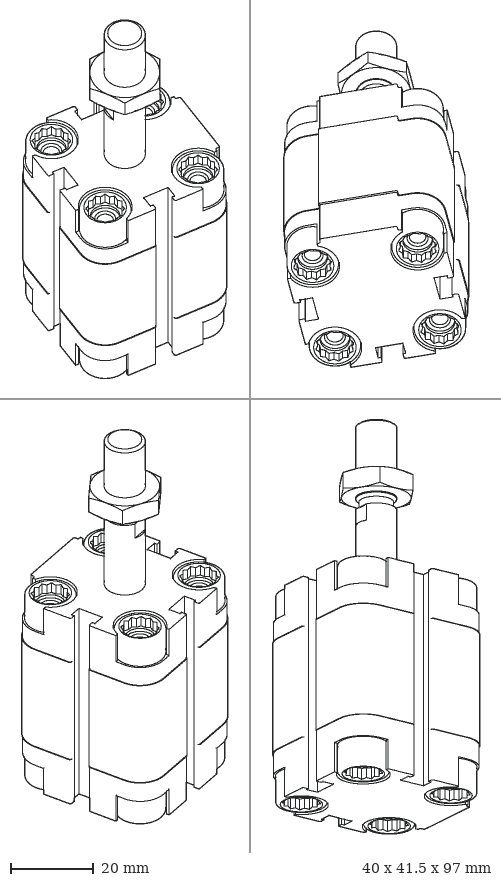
import cadquery as cq
import math


total_height = 97.0
body_height = 54.6
lower_joint_z = 13.1
upper_joint_z = 41.7
upper_ledge_z = 46.9
lower_ledge_z = 7.6

barrel_half_width = 20.0
screw_offset = 13.0
cap_setback = 0.2
pad_face_y = 21.5
cap_pad_setback = 0.5
pad_half_width = 9.8
pad_edge_radius = 0.4

front_mouth_half = 2.7
front_mouth_round = 0.3
side_mouth_half = 2.6
side_mouth_round = 0.5
slot_inner_half = 3.4
slot_lip_offset = 18.2
slot_floor_offset = 15.0

head_radius = 12.5 / 2
head_round = 0.8
head_recess = 0.2
relief_radius = 6.5
relief_wall_offset = 2.5
screw_bore_radius = 4.0 / 2

socket_flats = 8.05
socket_depth = 3.1
socket_mouth_radius = 5.1
socket_bevel_angle = 30.0
seat_radius = 7.2 / 2
seat_depth = 4.0
bore_entry_radius = 5.0 / 2

rod_radius = 10.0 / 2
rod_tip_radius = 8.2 / 2
rod_tip_bevel_height = 0.6
neck_radius = 8.4 / 2
neck_bottom_z = 75.1
neck_top_z = 77.1
thread_runout_height = 0.8
wrench_flats = 8.9
wrench_flat_bottom_z = 70.9

nut_flats = 17.0
nut_bottom_z = 78.2
nut_top_z = 83.2
nut_face_radius = 8.4
nut_bevel_angle = 20.0

screw_positions = [(sx * screw_offset, sy * screw_offset) for sx in (-1, 1) for sy in (-1, 1)]


def hexagon_across_corners(across_flats):
    return across_flats / math.cos(math.radians(30))


def t_slot(face, height, mouth_half, mouth_round):
    """T-slot cutter opening toward -Y at y = -face, with rounded mouth edges."""
    outer_half = mouth_half + mouth_round
    round_mid = mouth_round * (1 - math.sqrt(0.5))
    return (
        cq.Workplane("XY")
        .moveTo(-outer_half, -face)
        .threePointArc(
            (-mouth_half - round_mid, -face + round_mid),
            (-mouth_half, -face + mouth_round),
        )
        .lineTo(-mouth_half, -slot_lip_offset)
        .lineTo(-slot_inner_half, -slot_lip_offset)
        .lineTo(-slot_inner_half, -slot_floor_offset)
        .lineTo(slot_inner_half, -slot_floor_offset)
        .lineTo(slot_inner_half, -slot_lip_offset)
        .lineTo(mouth_half, -slot_lip_offset)
        .lineTo(mouth_half, -face + mouth_round)
        .threePointArc(
            (mouth_half + round_mid, -face + round_mid),
            (outer_half, -face),
        )
        .close()
        .extrude(height)
    )


def raised_pad(half_width, face, height):
    """Raised strip on the back, rounded at its outer edges."""
    strip = cq.Workplane("XY").box(2 * half_width, face, height, centered=(True, False, False))
    return strip.edges("|Z and >Y").fillet(pad_edge_radius)


def round_pad_foot(section, half_width, face, height):
    """Fillet the two inner corners where the raised pad leaves the back face."""
    for x in (-half_width, half_width):
        foot = cq.selectors.NearestToPointSelector((x, face, height / 2))
        section = section.edges(foot).fillet(pad_edge_radius)
    return section


def body_section(setback, pad_setback, bottom_z, top_z):
    """Length of the grooved body outline, set back from the barrel's faces."""
    height = top_z - bottom_z
    face = barrel_half_width - setback
    section = (
        cq.Workplane("XY")
        .rect(2 * face, 2 * face)
        .extrude(height)
        .edges("|Z")
        .fillet(face - screw_offset)
        .union(raised_pad(pad_half_width - setback, pad_face_y - pad_setback, height))
    )
    section = round_pad_foot(section, pad_half_width - setback, face, height)
    section = section.cut(t_slot(face, height, front_mouth_half, front_mouth_round))
    side_slot = t_slot(face, height, side_mouth_half, side_mouth_round)
    for turn in (-90, 90):
        section = section.cut(side_slot.rotate((0, 0, 0), (0, 0, 1), turn))
    bores = cq.Workplane("XY").pushPoints(screw_positions).circle(screw_bore_radius).extrude(height)
    return section.cut(bores).translate((0, 0, bottom_z))


def corner_relief(depth):
    """Pocket around a screw head at the origin, opening to the faces on its +X and +Y sides."""
    pocket = cq.Workplane("XY").circle(relief_radius).extrude(depth)
    reach = relief_wall_offset + 2 * relief_radius
    opening = (
        cq.Workplane("XY")
        .box(reach, reach, depth, centered=False)
        .translate((-relief_wall_offset, -relief_wall_offset, 0))
    )
    return pocket.union(opening)


def socket(head_height):
    """Twelve-point socket, bevelled mouth and stepped seat, sunk from the top of a head."""
    across_corners = hexagon_across_corners(socket_flats)
    floor_z = head_height - socket_depth
    star = cq.Workplane("XY").workplane(offset=floor_z).polygon(6, across_corners).extrude(socket_depth)
    star = star.union(star.rotate((0, 0, 0), (0, 0, 1), 30))

    bevel_depth = socket_mouth_radius * math.tan(math.radians(socket_bevel_angle))
    seat_z = head_height - seat_depth
    bore_entry_depth = bore_entry_radius - screw_bore_radius
    mouth_bevel = (
        cq.Workplane("XZ")
        .moveTo(0, head_height)
        .lineTo(socket_mouth_radius, head_height)
        .lineTo(0, head_height - bevel_depth)
        .close()
        .revolve()
    )
    stepped_seat = (
        cq.Workplane("XZ")
        .moveTo(0, floor_z)
        .lineTo(seat_radius, floor_z)
        .lineTo(seat_radius, seat_z)
        .lineTo(bore_entry_radius, seat_z)
        .lineTo(screw_bore_radius, seat_z - bore_entry_depth)
        .lineTo(screw_bore_radius, 0)
        .lineTo(0, 0)
        .close()
        .revolve()
    )
    return star.union(stepped_seat).union(mouth_bevel)


def screw_head(height):
    """Round screw head standing on the XY plane at the origin."""
    head = cq.Workplane("XY").circle(head_radius).extrude(height).faces(">Z").edges().fillet(head_round)
    return head.cut(socket(height))


def end_cap(inner_z, outer_z, ledge_z):
    """Cap whose four corners hold screw heads between the ledge and the outer face."""
    cap = body_section(cap_setback, cap_pad_setback, min(inner_z, outer_z), max(inner_z, outer_z))
    head_height = abs(outer_z - ledge_z)
    relief = corner_relief(head_height)
    head = screw_head(head_height - head_recess)
    if outer_z < ledge_z:
        relief = relief.mirror("XY")
        head = head.mirror("XY")
    for x, y in screw_positions:
        diagonal = math.degrees(math.atan2(y, x)) - 45
        place = (x, y, ledge_z)
        cap = cap.cut(relief.rotate((0, 0, 0), (0, 0, 1), diagonal).translate(place))
        cap = cap.union(head.translate(place))
    return cap


def make_housing():
    """Barrel with a cap at each end and the guide bore for the piston rod."""
    barrel = body_section(0, 0, lower_joint_z, upper_joint_z)
    upper_cap = end_cap(upper_joint_z, body_height, upper_ledge_z)
    lower_cap = end_cap(lower_joint_z, 0, lower_ledge_z)
    guide_length = body_height - upper_joint_z
    guide_bore = cq.Workplane("XY").workplane(offset=upper_joint_z).circle(rod_radius).extrude(guide_length)
    return barrel.union(upper_cap).union(lower_cap).cut(guide_bore)


def make_nut():
    """Hexagon with points along Y, bevelled at both ends and bored for the rod."""
    height = nut_top_z - nut_bottom_z
    corner_radius = hexagon_across_corners(nut_flats) / 2
    bevel_drop = (corner_radius - nut_face_radius) * math.tan(math.radians(nut_bevel_angle))
    prism = cq.Workplane("XY").polygon(6, 2 * corner_radius).extrude(height).rotate((0, 0, 0), (0, 0, 1), 30)
    envelope = (
        cq.Workplane("XZ")
        .moveTo(0, 0)
        .lineTo(nut_face_radius, 0)
        .lineTo(corner_radius, bevel_drop)
        .lineTo(corner_radius, height - bevel_drop)
        .lineTo(nut_face_radius, height)
        .lineTo(0, height)
        .close()
        .revolve()
    )
    thread_hole = cq.Workplane("XY").circle(rod_radius).extrude(height)
    return prism.intersect(envelope).cut(thread_hole).translate((0, 0, nut_bottom_z))


def make_rod():
    """Rod with wrench flats, a neck, a thread run-out and a bevelled tip."""
    shaft = (
        cq.Workplane("XZ")
        .moveTo(0, upper_joint_z)
        .lineTo(rod_radius, upper_joint_z)
        .lineTo(rod_radius, neck_bottom_z)
        .lineTo(neck_radius, neck_bottom_z)
        .lineTo(neck_radius, neck_top_z)
        .lineTo(rod_radius, neck_top_z + thread_runout_height)
        .lineTo(rod_radius, total_height - rod_tip_bevel_height)
        .lineTo(rod_tip_radius, total_height)
        .lineTo(0, total_height)
        .close()
        .revolve()
    )
    flat_height = neck_bottom_z - wrench_flat_bottom_z
    for side in (-1, 1):
        flat = (
            cq.Workplane("XY")
            .box(2 * rod_radius, rod_radius, flat_height, centered=(True, True, False))
            .translate((0, side * (wrench_flats + rod_radius) / 2, wrench_flat_bottom_z))
        )
        shaft = shaft.cut(flat)
    return shaft


housing = make_housing()
rod = make_rod()
nut = make_nut()

bodies = [housing, rod, nut]
result = cq.Compound.makeCompound([body.solids().val() for body in bodies])